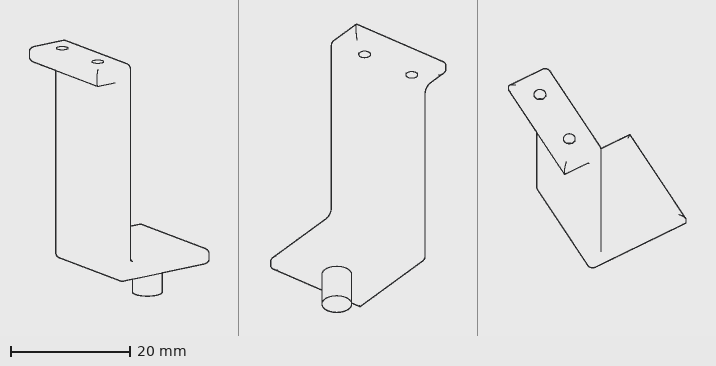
import cadquery as cq

width = 19.0
depth = 23.5
height = 44.0
edge_radius = 1.0

plate_thickness = 3.0
wall_thickness = 2.5
shelf_overhang = 5.0

pin_diameter = 5.0
pin_length = 6.0
pin_inset = 5.85

hole_diameter = 2.0
hole_spacing = 10.0
hole_inset = 3.5

body_height = height - pin_length
wall_front = shelf_overhang
wall_rear = wall_front + wall_thickness
shelf_underside = body_height - plate_thickness


def make_screw_holes():
    return (
        cq.Workplane("XY", origin=(0, hole_inset, shelf_underside))
        .pushPoints([(-hole_spacing / 2, 0), (hole_spacing / 2, 0)])
        .circle(hole_diameter / 2)
        .extrude(plate_thickness)
    )


def make_body():
    """Z-shaped bracket with screw holes; its straight edges are rounded, save the plate-end corners.

    The holes come first, so the fillet under the shelf is trimmed where it runs into them.
    """
    profile = [
        (wall_front, 0),
        (depth, 0),
        (depth, plate_thickness),
        (wall_rear, plate_thickness),
        (wall_rear, body_height),
        (0, body_height),
        (0, shelf_underside),
        (wall_front, shelf_underside),
    ]
    body = cq.Workplane("YZ").polyline(profile).close().extrude(width / 2, both=True)
    body = body.cut(make_screw_holes())
    sharp_corners = body.faces("<Y or >Y").edges("|Z").vals()
    rounded_edges = [
        edge for edge in body.faces("%PLANE").edges("%LINE").vals()
        if not any(edge.isSame(corner) for corner in sharp_corners)
    ]
    return body.newObject(rounded_edges).fillet(edge_radius)


def make_pin():
    """Pin hanging from the base plate, sunk into it for a solid joint."""
    return (
        cq.Workplane("XY", origin=(0, depth - pin_inset, -pin_length))
        .circle(pin_diameter / 2)
        .extrude(pin_length + plate_thickness / 2)
    )


result = make_body().union(make_pin())